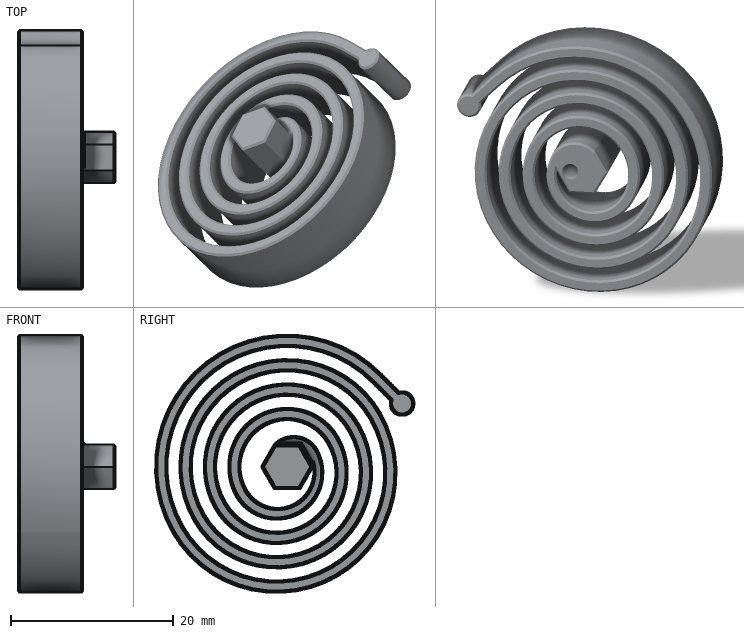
import cadquery as cq
import math

band_width = 8.0
total_length = 12.0
band_thickness = 1.5
pitch = 3.0
first_inner_radius = 5.75
upper_turns = 4
hex_across_flats = 5.5
edge_chamfer = 0.25
chamfer_angle = 45.0
tail_length = 4.5
tail_angle = 45.0
end_pin_radius = 1.5
dimple_radius = 1.0
dimple_offset = 1.45

hex_radius = hex_across_flats / math.sqrt(3)
half_step = pitch / 2
hex_sector = 360 / 6
seam_angle = hex_sector / 2


def polar(radius, angle, center=(0.0, 0.0)):
    """Point (y, z) at a radius and an angle in degrees, measured from +Y towards +Z."""
    a = math.radians(angle)
    return (center[0] + radius * math.cos(a), center[1] + radius * math.sin(a))


far_angle = seam_angle + 180
lower_center = polar(half_step, far_angle)
upper_mid_angle = seam_angle + 90
lower_mid_angle = seam_angle - 90

hex_corners = [polar(hex_radius, hex_sector * i) for i in range(6)]


def inner_start_arc(wire):
    """Inner face from the +Y hexagon corner, tangent to the first upper half turn."""
    corner_along = hex_radius * math.cos(math.radians(seam_angle))
    shift = (first_inner_radius**2 - hex_radius**2) / (2 * (corner_along + first_inner_radius))
    center = polar(shift, far_angle)
    radius = first_inner_radius - shift
    return wire.threePointArc(polar(radius, lower_mid_angle, center), polar(first_inner_radius, far_angle))


def hub_arc(wire):
    """Hub back, tangent to the outermost face at the seam and ending on a hexagon corner."""
    seam_radius = first_inner_radius + band_thickness - pitch
    shift = (seam_radius**2 - hex_radius**2) / (2 * seam_radius)
    center = polar(shift, seam_angle)
    radius = seam_radius - shift
    return wire.threePointArc(polar(radius, upper_mid_angle, center), hex_corners[2])


def coil_profile():
    """Closed outline of hub, coil, straight tail and end pin."""
    wire = inner_start_arc(cq.Workplane("YZ").moveTo(*hex_corners[0]))

    for turn in range(upper_turns - 1):
        radius = first_inner_radius + turn * pitch
        wire = wire.threePointArc(polar(radius, upper_mid_angle), polar(radius, seam_angle))
        lower_radius = radius + half_step
        wire = wire.threePointArc(
            polar(lower_radius, lower_mid_angle, lower_center), polar(radius + pitch, far_angle)
        )
    last_inner = first_inner_radius + (upper_turns - 1) * pitch
    last_outer = last_inner + band_thickness
    wire = wire.threePointArc(polar(last_inner, upper_mid_angle), polar(last_inner, tail_angle))

    run_angle = tail_angle - 90
    pin_center = polar(tail_length, run_angle, polar(last_inner + band_thickness / 2, tail_angle))
    straight = tail_length - math.sqrt(end_pin_radius**2 - (band_thickness / 2) ** 2)
    inner_end = polar(straight, run_angle, polar(last_inner, tail_angle))
    outer_end = polar(straight, run_angle, polar(last_outer, tail_angle))
    wire = wire.lineTo(*inner_end)
    wire = wire.threePointArc(polar(end_pin_radius, run_angle, pin_center), outer_end)
    wire = wire.lineTo(*polar(last_outer, tail_angle))

    wire = wire.threePointArc(polar(last_outer, upper_mid_angle), polar(last_outer, far_angle))
    for turn in reversed(range(upper_turns)):
        seam_radius = first_inner_radius + band_thickness + (turn - 1) * pitch
        lower_radius = seam_radius + half_step
        wire = wire.threePointArc(
            polar(lower_radius, lower_mid_angle, lower_center), polar(seam_radius, seam_angle)
        )
        if turn > 0:
            wire = wire.threePointArc(polar(seam_radius, upper_mid_angle), polar(seam_radius, far_angle))
    wire = hub_arc(wire)
    for corner in hex_corners[3:]:
        wire = wire.lineTo(*corner)
    return wire.close()


def inset_profile():
    """Outline of the flat end faces, inside the chamfered rim."""
    return coil_profile().offset2D(-edge_chamfer, "intersection")


def end_cap():
    """Slice of the coil that narrows along +X, forming the chamfered rim."""
    wide = coil_profile().val()
    narrow = inset_profile().val().translate(cq.Vector(edge_chamfer, 0, 0))
    return cq.Workplane(cq.Solid.makeLoft([wide, narrow], True))


def coil():
    """Coil with all edges of both end faces chamfered."""
    body = coil_profile().extrude(band_width - 2 * edge_chamfer).translate((edge_chamfer, 0, 0))
    front_cap = end_cap().mirror("YZ").translate((edge_chamfer, 0, 0))
    back_cap = end_cap().translate((band_width - edge_chamfer, 0, 0))
    return body.union(front_cap).union(back_cap)


def hex_shaft():
    """Hexagonal shaft rising from the hub, chamfered at its free end."""
    start = band_width - edge_chamfer
    shaft = cq.Workplane("YZ").polyline(hex_corners).close().extrude(total_length - start)
    shaft = shaft.faces(">X").edges().chamfer(edge_chamfer)
    return shaft.translate((start, 0, 0))


def shaft_root():
    """Sloped filling between the hexagon faces and the hub face they rise from."""
    corner_growth = edge_chamfer / math.cos(math.radians(hex_sector / 2))
    base_corners = [polar(hex_radius + corner_growth, hex_sector * i) for i in range(4)]
    flare = cq.Workplane("YZ").polyline(base_corners).close().extrude(edge_chamfer, taper=chamfer_angle)
    hub_area = inset_profile().extrude(edge_chamfer)
    root = flare.intersect(hub_area).solids("<Y")
    return root.translate((band_width, 0, 0))


def dimple():
    """Round-bottomed recess in the hub face."""
    diameter_line = cq.Workplane("XY").moveTo(-dimple_radius, 0).lineTo(dimple_radius, 0)
    half_disc = diameter_line.threePointArc((0, dimple_radius), (-dimple_radius, 0)).close()
    ball = half_disc.revolve(360, (0, 0, 0), (1, 0, 0))
    return ball.translate((0, dimple_offset, 0))


result = coil().union(hex_shaft()).union(shaft_root()).cut(dimple())